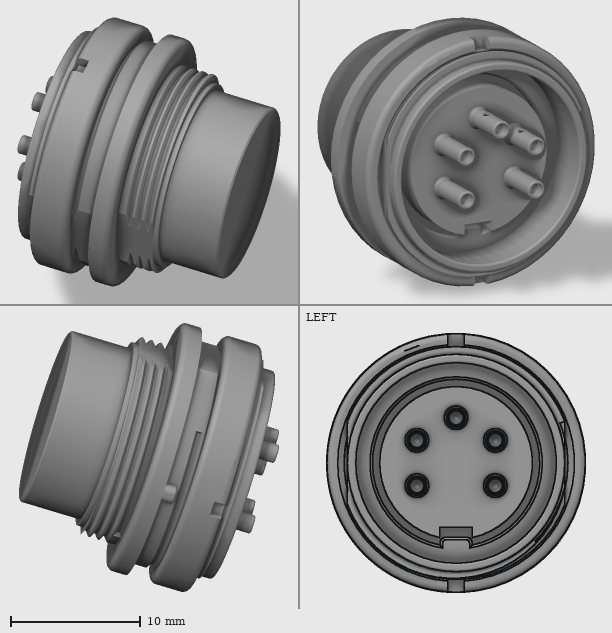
import cadquery as cq
import math


PIN_TIP_X = 0
SHELL_FRONT_X = 1.78
FRONT_THREAD_X = 2.78
NUT_FRONT_X = 3.3
NUT_REAR_X = 6.32
FLANGE_FRONT_X = 8.25
FLANGE_REAR_X = 9.8
REAR_THREAD_END_X = 12.58
COLLAR_END_X = 12.98
REAR_END_X = 17.8

OUTER_DIA = 20.0
SHELL_DIA = 16.8
FRONT_THREAD_DIA = 18.0
REAR_THREAD_DIA = 16.0
COLLAR_DIA = 14.8
REAR_DIA = 13.8
RIM_FILLET = 0.2
REAR_CHAMFER = 0.15
RING_FILLET = 0.48

PITCH = 0.75
THREAD_DEPTH = 0.4
GROOVE_FLOOR = 0.15
GROOVE_MOUTH = 0.6
FRONT_GROOVE_START_X = 2.8
FRONT_GROOVE_TURNS = 5.4
FRONT_GROOVE_START_ANGLE = 111
REAR_GROOVE_START_X = 10.05
REAR_GROOVE_TURNS = 3.5
REAR_GROOVE_START_ANGLE = 48

NUT_BORE_DIA = FRONT_THREAD_DIA - 2 * THREAD_DEPTH + 0.1
NUT_MOUTH_DIA = 18.3
SLOT_WIDTH = 1.28
SLOT_LENGTH = 1.0
SLOT_FLOOR_RADIUS = 8.95

TAB_LENGTH = 1.0
TAB_FILLET = 0.5
TAB_FRONT_FILLET = 0.2

CAVITY_DIA = 15.5
CAVITY_FLOOR_X = 5.52
INSERT_DIA = 11.8
INSERT_FACE_X = 3.85
GAP_DIA = 12.92
GAP_FLOOR_X = 6.2
GAP_CHAMFER = 0.2
NOTCH_WIDTH = 2.5
NOTCH_TOP_Z = -4.95
KEY_WIDTH = NOTCH_WIDTH - 0.02
KEY_TOP_Z = -5.72
KEY_CORNER = 0.5

PIN_DIA = 1.48
PIN_CIRCLE_RADIUS = 3.5
PIN_ANGLES = (-30, 30, 90, 150, 210)
VENTED_PIN_ANGLES = (90, 150)
PIN_CHAMFER = 0.1
PIN_BASE_DIA = 1.82
CUP_DIA = 1.1
CUP_DEPTH = 2.8
VENT_DIA = 0.8
VENT_X = 2.28


def cylinder(diameter, start_x, end_x, y=0, z=0):
    """Solid cylinder along X."""
    plane = cq.Workplane("YZ", origin=(start_x, y, z))
    return plane.circle(diameter / 2).extrude(end_x - start_x)


def cone(start_dia, end_dia, start_x, end_x, y=0, z=0):
    """Solid cone along X, pointed where the end diameter is zero."""
    points = [(start_x, 0), (start_x, start_dia / 2), (end_x, end_dia / 2)]
    if end_dia:
        points.append((end_x, 0))
    outline = cq.Workplane("XY").polyline(points).close()
    return outline.revolve(360, (0, 0, 0), (1, 0, 0)).translate((0, y, z))


def block(start_x, end_x, width, bottom_z, top_z):
    """Box centred on Y = 0."""
    box = cq.Workplane("XY").box(end_x - start_x, width, top_z - bottom_z, centered=(False, True, False))
    return box.translate((start_x, 0, bottom_z))


def thread_groove(crest_dia, start_x, turns, start_angle):
    """Right-handed helical groove that starts start_angle before the bottom."""
    root_radius = crest_dia / 2 - THREAD_DEPTH
    clearance = 0.1
    flank_run = (GROOVE_MOUTH - GROOVE_FLOOR) / 2 * (1 + clearance / THREAD_DEPTH)
    outer_half = GROOVE_FLOOR / 2 + flank_run
    outer_radius = crest_dia / 2 + clearance
    path = cq.Wire.makeHelix(PITCH, PITCH * turns, root_radius)
    profile = cq.Workplane("XZ").polyline([
        (root_radius, -GROOVE_FLOOR / 2),
        (outer_radius, -outer_half),
        (outer_radius, outer_half),
        (root_radius, GROOVE_FLOOR / 2),
    ]).close()
    groove = profile.sweep(cq.Workplane(obj=path), isFrenet=True)
    groove = groove.rotate((0, 0, 0), (0, 1, 0), 90)
    groove = groove.rotate((0, 0, 0), (1, 0, 0), -start_angle)
    return groove.translate((start_x, 0, 0))


def flatted_thread(diameter, across_flats, start_x, end_x, groove):
    """Grooved cylinder with two flats facing +Y and -Y."""
    flats = block(start_x, end_x, across_flats, -diameter, diameter)
    return cylinder(diameter, start_x, end_x).cut(groove).intersect(flats)


def make_shell():
    rim = cylinder(SHELL_DIA, SHELL_FRONT_X, FLANGE_FRONT_X)
    rim = rim.cut(cylinder(CAVITY_DIA, SHELL_FRONT_X, CAVITY_FLOOR_X))
    rim = rim.faces("<X").edges().fillet(RIM_FILLET)
    front_groove = thread_groove(
        FRONT_THREAD_DIA, FRONT_GROOVE_START_X, FRONT_GROOVE_TURNS, FRONT_GROOVE_START_ANGLE)
    front = flatted_thread(
        FRONT_THREAD_DIA, SHELL_DIA, FRONT_THREAD_X, FLANGE_FRONT_X, front_groove)
    flange = cylinder(OUTER_DIA, FLANGE_FRONT_X, FLANGE_REAR_X).faces(">X").edges().fillet(RING_FILLET)
    rear_groove = thread_groove(
        REAR_THREAD_DIA, REAR_GROOVE_START_X, REAR_GROOVE_TURNS, REAR_GROOVE_START_ANGLE)
    rear = flatted_thread(
        REAR_THREAD_DIA, COLLAR_DIA, FLANGE_REAR_X, REAR_THREAD_END_X, rear_groove)
    collar = cylinder(COLLAR_DIA, REAR_THREAD_END_X, COLLAR_END_X)
    tail = cylinder(REAR_DIA, COLLAR_END_X, REAR_END_X).faces(">X").chamfer(REAR_CHAMFER)
    return rim.union(front).union(flange).union(rear).union(collar).union(tail)


def make_tab():
    front_x = FLANGE_FRONT_X - TAB_LENGTH
    tab = block(front_x, FLANGE_FRONT_X, SLOT_WIDTH, -OUTER_DIA / 2, -SHELL_DIA / 2)
    tab = tab.edges("|X and <Z").fillet(TAB_FILLET)
    return tab.faces("<X").edges("not >Z").fillet(TAB_FRONT_FILLET)


def make_nut():
    nut = cylinder(OUTER_DIA, NUT_FRONT_X, NUT_REAR_X).edges().fillet(RING_FILLET)
    mouth_depth = (NUT_MOUTH_DIA - NUT_BORE_DIA) / 2
    nut = nut.cut(cylinder(NUT_BORE_DIA, NUT_FRONT_X, NUT_REAR_X))
    nut = nut.cut(cone(NUT_MOUTH_DIA, NUT_BORE_DIA, NUT_FRONT_X, NUT_FRONT_X + mouth_depth))
    slot = block(NUT_FRONT_X, NUT_FRONT_X + SLOT_LENGTH, SLOT_WIDTH, SLOT_FLOOR_RADIUS, OUTER_DIA / 2)
    return nut.cut(slot).cut(slot.mirror("XY"))


def make_cavity():
    """Space to remove behind the rim edge, down to the gap around the insert."""
    cavity = cylinder(CAVITY_DIA, SHELL_FRONT_X + RIM_FILLET, CAVITY_FLOOR_X)
    gap = cylinder(GAP_DIA, CAVITY_FLOOR_X, GAP_FLOOR_X)
    gap_mouth = cone(GAP_DIA + 2 * GAP_CHAMFER, GAP_DIA, CAVITY_FLOOR_X, CAVITY_FLOOR_X + GAP_CHAMFER)
    return cavity.union(gap).union(gap_mouth)


def make_key():
    """Polarising key that reaches from the shell into the insert notch."""
    key = block(CAVITY_FLOOR_X, GAP_FLOOR_X, KEY_WIDTH, -CAVITY_DIA / 2, KEY_TOP_Z)
    key = key.edges("|X and >Z").fillet(KEY_CORNER)
    key = key.faces("<X").edges("not <Z").chamfer(GAP_CHAMFER)
    return key.intersect(cylinder(CAVITY_DIA, CAVITY_FLOOR_X, GAP_FLOOR_X))


def make_insert():
    insert = cylinder(INSERT_DIA, INSERT_FACE_X, GAP_FLOOR_X)
    return insert.cut(block(INSERT_FACE_X, GAP_FLOOR_X, NOTCH_WIDTH, -INSERT_DIA / 2, NOTCH_TOP_Z))


def add_pin(body, angle):
    y = PIN_CIRCLE_RADIUS * math.cos(math.radians(angle))
    z = PIN_CIRCLE_RADIUS * math.sin(math.radians(angle))
    base_length = PIN_BASE_DIA - PIN_DIA
    pin = cylinder(PIN_DIA, PIN_TIP_X, INSERT_FACE_X, y, z).faces("<X").chamfer(PIN_CHAMFER)
    pin = pin.union(cone(PIN_DIA, PIN_BASE_DIA, INSERT_FACE_X - base_length, INSERT_FACE_X, y, z))
    pin = pin.cut(cylinder(CUP_DIA, PIN_TIP_X, CUP_DEPTH, y, z))
    pin = pin.cut(cone(CUP_DIA, 0, CUP_DEPTH, CUP_DEPTH + CUP_DIA / 2, y, z))
    if angle in VENTED_PIN_ANGLES:
        vent = cq.Workplane("XY", origin=(VENT_X, y, z)).circle(VENT_DIA / 2).extrude(PIN_DIA)
        pin = pin.cut(vent)
    return body.union(pin)


result = make_shell().union(make_tab()).cut(make_cavity())
result = result.union(make_key()).union(make_insert()).union(make_nut())
for pin_angle in PIN_ANGLES:
    result = add_pin(result, pin_angle)